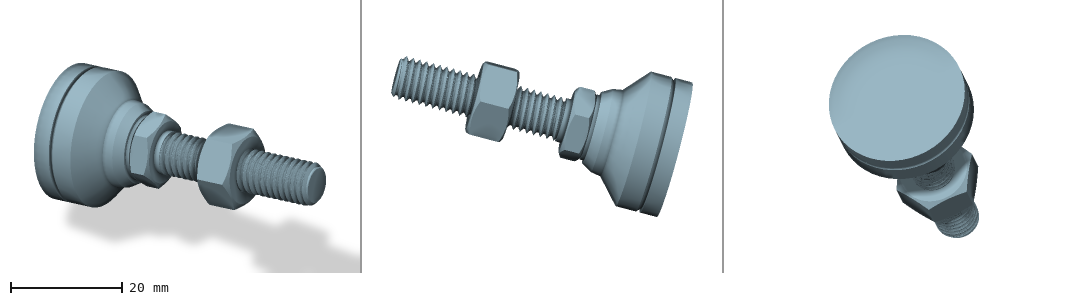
import cadquery as cq
import math

AXIS_HEADING = 30.2
AXIS_RISE = 13.3
AXIS_ROLL = 147.5

FOOT_RADIUS = 12.5
PAD_THICKNESS = 3.1
RIM_BOTTOM = 3.9
UNDERSIDE_RADIUS = 11.7
RIM_TOP = 7.65
CONE_TOP = 11.7
COLLAR_RADIUS = 8.0
COLLAR_TOP_RADIUS = 7.7
COLLAR_TOP = 13.55
FOOT_TOP = 15.35
FOOT_TOP_RADIUS = 6.65

NECK_RADIUS = 6.05
SOCKET_FLOOR = 11.7
STUD_HEX_BOTTOM = 16.05
STUD_HEX_HEIGHT = 4.0
STUD_HEX_FLATS = 12.0
STUD_HEX_SPIN = 30.0
STUD_END = 51.85
STUD_END_CHAMFER = 0.85
SHANK_LENGTH = 1.05

THREAD_RADIUS = 4.0
PITCH = 1.25
THREAD_BOTTOM = STUD_HEX_BOTTOM + STUD_HEX_HEIGHT + SHANK_LENGTH
THREAD_DEPTH = 0.75
ROOT_ANGLE = 360 / 4
FLANK_STEPS = 8
CUTTER_MARGIN = 0.25

NUT_BOTTOM = 30.45
NUT_HEIGHT = 6.75
NUT_FLATS = 13.0
NUT_SPIN = 13.0

HEX_CHAMFER_ANGLE = 30.0
HEX_FACE_RATIO = 0.95


def revolve_profile(points):
    """Solid of revolution about Z from (radius, height) points."""
    return cq.Workplane("XZ").polyline(points).close().revolve(360, (0, 0, 0), (0, 1, 0))


def chamfered_hexagon(flats, bottom, height):
    """Hexagonal prism with its corners turned off conically at both ends."""
    corner_radius = flats / 2 / math.cos(math.pi / 6)
    face_radius = flats / 2 * HEX_FACE_RATIO
    drop = (corner_radius - face_radius) * math.tan(math.radians(HEX_CHAMFER_ANGLE))
    top = bottom + height
    prism = (
        cq.Workplane("XY").workplane(offset=bottom)
        .polygon(6, 2 * corner_radius).extrude(height)
    )
    envelope = revolve_profile([
        (0, bottom),
        (face_radius, bottom),
        (corner_radius, bottom + drop),
        (corner_radius, top - drop),
        (face_radius, top),
        (0, top),
    ])
    return prism.intersect(envelope)


def on_circle(radius, degrees):
    """Point at an angle on a circle about the axis."""
    angle = math.radians(degrees)
    return (radius * math.cos(angle), radius * math.sin(angle))


def thread(bottom, top):
    """Stretch of right-handed threaded rod: a sharp-crested cross-section twisted along the axis."""
    root_radius = THREAD_RADIUS - THREAD_DEPTH
    flank_angle = 180 - ROOT_ANGLE / 2
    crest = (THREAD_RADIUS, 0)
    falling_flank = []
    for step in range(1, FLANK_STEPS + 1):
        share = step / FLANK_STEPS
        falling_flank.append(on_circle(THREAD_RADIUS - THREAD_DEPTH * share, flank_angle * share))
    rising_flank = [(x, -y) for x, y in reversed(falling_flank)]
    crest_angle = 360 * (bottom - THREAD_BOTTOM) / PITCH
    section = (
        cq.Workplane("XY").workplane(offset=bottom)
        .transformed(rotate=(0, 0, crest_angle))
        .moveTo(*crest)
        .spline(falling_flank, includeCurrent=True)
        .threePointArc((-root_radius, 0), rising_flank[0])
        .spline(rising_flank[1:] + [crest], includeCurrent=True)
        .close()
    )
    length = top - bottom
    return section.twistExtrude(length, 360 * length / PITCH)


def end_chamfer_cutter():
    """Conical ring that turns the chamfer onto the free end of the stud."""
    outer_radius = THREAD_RADIUS + CUTTER_MARGIN
    end_radius = THREAD_RADIUS - STUD_END_CHAMFER
    return revolve_profile([
        (end_radius, STUD_END),
        (outer_radius, STUD_END - STUD_END_CHAMFER - CUTTER_MARGIN),
        (outer_radius, STUD_END + CUTTER_MARGIN),
        (end_radius, STUD_END + CUTTER_MARGIN),
    ])


def make_pad():
    return cq.Workplane("XY").circle(FOOT_RADIUS).extrude(PAD_THICKNESS)


def make_foot():
    return revolve_profile([
        (0, PAD_THICKNESS),
        (UNDERSIDE_RADIUS, PAD_THICKNESS),
        (FOOT_RADIUS, RIM_BOTTOM),
        (FOOT_RADIUS, RIM_TOP),
        (COLLAR_RADIUS, CONE_TOP),
        (COLLAR_TOP_RADIUS, COLLAR_TOP),
        (FOOT_TOP_RADIUS, FOOT_TOP),
        (NECK_RADIUS, FOOT_TOP),
        (NECK_RADIUS, SOCKET_FLOOR),
        (0, SOCKET_FLOOR),
    ])


def make_stud():
    hex_top = STUD_HEX_BOTTOM + STUD_HEX_HEIGHT
    neck = (
        cq.Workplane("XY").workplane(offset=SOCKET_FLOOR)
        .circle(NECK_RADIUS).extrude(STUD_HEX_BOTTOM - SOCKET_FLOOR)
    )
    hexagon = (
        chamfered_hexagon(STUD_HEX_FLATS, STUD_HEX_BOTTOM, STUD_HEX_HEIGHT)
        .rotate((0, 0, 0), (0, 0, 1), STUD_HEX_SPIN)
    )
    shank = (
        cq.Workplane("XY").workplane(offset=hex_top)
        .circle(THREAD_RADIUS).extrude(SHANK_LENGTH)
    )
    tip_bottom = STUD_END - PITCH
    rod = thread(THREAD_BOTTOM, tip_bottom)
    tip = thread(tip_bottom, STUD_END).cut(end_chamfer_cutter())
    stud = neck.union(hexagon).union(shank)
    for threaded_part in (rod, tip):
        stud = stud.union(threaded_part, glue=True, clean=False)
    return stud


def make_nut():
    bore = (
        cq.Workplane("XY").workplane(offset=NUT_BOTTOM)
        .circle(THREAD_RADIUS).extrude(NUT_HEIGHT)
    )
    nut = chamfered_hexagon(NUT_FLATS, NUT_BOTTOM, NUT_HEIGHT).cut(bore)
    return nut.rotate((0, 0, 0), (0, 0, 1), NUT_SPIN)


def axis_location():
    """Placement that tilts the upright assembly onto its slanted axis."""
    heading = math.radians(AXIS_HEADING)
    rise = math.radians(AXIS_RISE)
    direction = (
        math.cos(rise) * math.cos(heading),
        math.cos(rise) * math.sin(heading),
        math.sin(rise),
    )
    sideways = (-math.sin(heading), math.cos(heading), 0)
    tilt = cq.Plane(origin=(0, 0, 0), xDir=sideways, normal=direction)
    return cq.Location(tilt) * cq.Location(cq.Vector(), cq.Vector(0, 0, 1), AXIS_ROLL)


placement = axis_location()
pad = make_pad()
foot = make_foot()
stud = make_stud()
nut = make_nut()
result = cq.Compound.makeCompound([
    body.val().moved(placement) for body in (pad, foot, stud, nut)
])